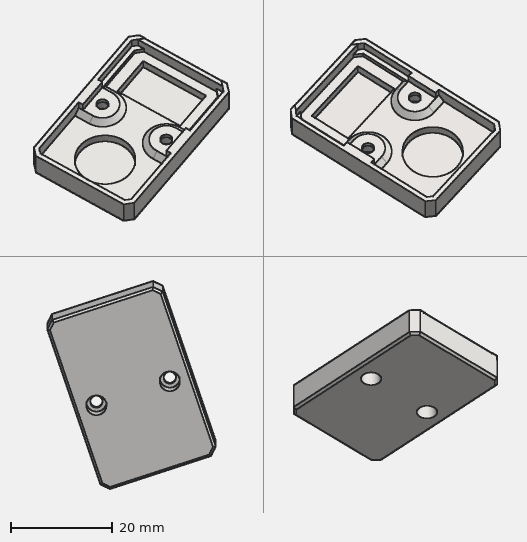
import cadquery as cq

WIDTH = 24.0
LENGTH = 36.0
HEIGHT = 6.0
WALL = 1.0
OUTER_CORNER = 1.5
INNER_CORNER = 0.9
BOTTOM_CHAMFER = 0.5
FLOOR_Z = HEIGHT / 2
BACK_RIM_DROP = 0.1

INNER_WIDTH = WIDTH - 2 * WALL
INNER_LENGTH = LENGTH - 2 * WALL

BOSS_X = 7.65
BOSS_Y = 1.0
BOSS_HEIGHT = 1.2
BOSS_TOP_RADIUS = 3.4
BOSS_BASE_RADIUS = 4.68
SCREW_DIAMETER = 2.4
SCREW_HEAD_DIAMETER = 4.0
SCREW_WEB = 0.9

LEDGE_WIDTH = 1.0
LEDGE_HEIGHT = 0.97
LEDGE_CORNER = 1.35
LEDGE_INNER_X = INNER_WIDTH / 2 - LEDGE_WIDTH

POCKET_DEPTH = 2.0
WINDOW_WIDTH = 15.0
WINDOW_LENGTH = 9.0
WINDOW_Y = 10.5
ROUND_POCKET_DIAMETER = 12.0
ROUND_POCKET_Y = -9.2


def chamfered_block(width, length, height, corner, base_z):
    """Block centred on Z with its four upright edges chamfered."""
    block = cq.Workplane("XY", origin=(0, 0, base_z)).rect(width, length).extrude(height)
    return block.edges("|Z").chamfer(corner)


def shell():
    """Open tray whose back rim sits slightly below the other rims."""
    body = chamfered_block(WIDTH, LENGTH, HEIGHT, OUTER_CORNER, 0)
    body = body.faces("<Z").edges().chamfer(BOTTOM_CHAMFER)
    body = body.cut(
        chamfered_block(INNER_WIDTH, INNER_LENGTH, HEIGHT - FLOOR_Z, INNER_CORNER, FLOOR_Z)
    )
    half_notch = INNER_WIDTH / 2 - INNER_CORNER
    notch = (
        cq.Workplane("XY", origin=(0, 0, HEIGHT - BACK_RIM_DROP))
        .polyline([
            (-half_notch, INNER_LENGTH / 2),
            (half_notch, INNER_LENGTH / 2),
            (half_notch - WALL, LENGTH / 2),
            (-half_notch + WALL, LENGTH / 2),
        ])
        .close()
        .extrude(BACK_RIM_DROP)
    )
    return body.cut(notch)


def boss():
    """Right-hand sloped boss: half a cone joined to a straight run into the wall."""
    cone = cq.Workplane(
        cq.Solid.makeCone(
            BOSS_BASE_RADIUS, BOSS_TOP_RADIUS, BOSS_HEIGHT, cq.Vector(BOSS_X, BOSS_Y, FLOOR_Z)
        )
    )
    wall_middle = (WIDTH - WALL) / 2
    cone = cone.intersect(
        cq.Workplane("XY").box(2 * BOSS_X, LENGTH, HEIGHT, centered=(True, True, False))
    )
    run = (
        cq.Workplane("YZ", origin=(BOSS_X, BOSS_Y, FLOOR_Z))
        .polyline([
            (-BOSS_BASE_RADIUS, 0),
            (BOSS_BASE_RADIUS, 0),
            (BOSS_TOP_RADIUS, BOSS_HEIGHT),
            (-BOSS_TOP_RADIUS, BOSS_HEIGHT),
        ])
        .close()
        .extrude(wall_middle - BOSS_X)
    )
    thick_wall = (
        cq.Workplane("XY", origin=(LEDGE_INNER_X, BOSS_Y, FLOOR_Z))
        .box(wall_middle - LEDGE_INNER_X, 2 * BOSS_TOP_RADIUS, HEIGHT - FLOOR_Z,
             centered=(False, True, False))
    )
    return cone.union(run).union(thick_wall)


def ledge():
    """Right-hand ledge from the boss to the back wall, widening across the corner."""
    wall_x = (WIDTH - WALL) / 2
    back_y = INNER_LENGTH / 2
    return (
        cq.Workplane("XY", origin=(0, 0, FLOOR_Z))
        .polyline([
            (LEDGE_INNER_X, BOSS_Y),
            (wall_x, BOSS_Y),
            (wall_x, back_y),
            (LEDGE_INNER_X - LEDGE_CORNER, back_y),
            (LEDGE_INNER_X, back_y - LEDGE_CORNER),
        ])
        .close()
        .extrude(LEDGE_HEIGHT)
    )


def screw_hole():
    """Right-hand screw hole with its head recess opening at the bottom."""
    boss_top = FLOOR_Z + BOSS_HEIGHT
    plane = cq.Workplane("XY").center(BOSS_X, BOSS_Y)
    shank = plane.circle(SCREW_DIAMETER / 2).extrude(boss_top)
    head = plane.circle(SCREW_HEAD_DIAMETER / 2).extrude(boss_top - SCREW_WEB)
    return shank.union(head)


def floor_pockets():
    """Rectangular pocket at the rear and round pocket at the front."""
    plane = cq.Workplane("XY", origin=(0, 0, FLOOR_Z - POCKET_DEPTH))
    window = plane.center(0, WINDOW_Y).rect(WINDOW_WIDTH, WINDOW_LENGTH).extrude(POCKET_DEPTH)
    disc = plane.center(0, ROUND_POCKET_Y).circle(ROUND_POCKET_DIAMETER / 2).extrude(POCKET_DEPTH)
    return window.union(disc)


def both_sides(feature):
    """The right-hand feature together with its mirror image on the left."""
    return feature.union(feature.mirror("YZ"))


result = shell().union(both_sides(boss())).union(both_sides(ledge()))
result = result.cut(floor_pockets()).cut(both_sides(screw_hole()))